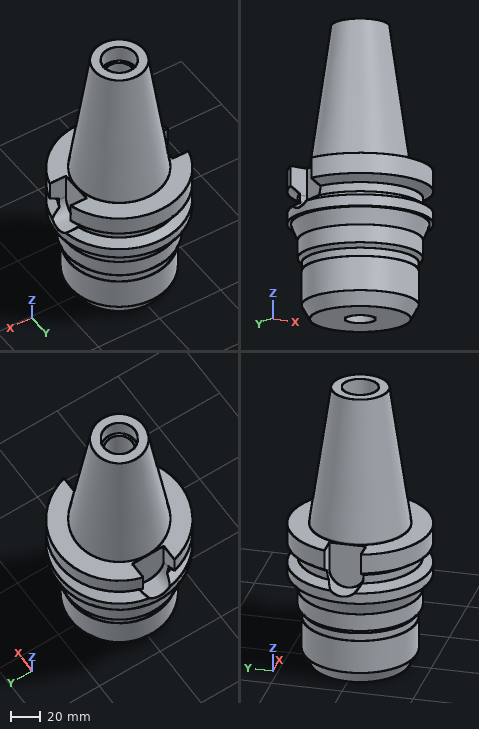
import cadquery as cq

total_height = 207.2
nose_chamfer_top = 9.7
nose_step = 34.0
nose_top = 39.8
collar_bottom = 42.9
collar_top = 55.5
flange_bottom = 67.0
lower_rim_top = 74.8
groove_bottom = 79.0
groove_top = 85.4
upper_rim_bottom = 90.0
flange_top = 104.2
gauge_line = 105.3

nose_end_radius = 34.5
nose_radius = 40.2
nose_relief_radius = 40.0
collar_radius = 42.9
neck_radius = 47.5
flange_radius = 100.0 / 2
groove_radius = collar_radius
gauge_radius = 34.91
taper_per_length = 7 / 24
taper_end_radius = gauge_radius - (total_height - gauge_line) * taper_per_length / 2

through_radius = 10.5
counterbore_radius = 12.6
counterbore_depth = 13.3

slot_width = 25.7
slot_floor = 35.2
slot_bottom = 71.7


def revolved_body():
    """Nose, collar, grooved flange and taper shank as one solid of revolution."""
    outline = [
        (0, 0),
        (nose_end_radius, 0),
        (nose_radius, nose_chamfer_top),
        (nose_radius, nose_step),
        (nose_relief_radius, nose_step),
        (nose_relief_radius, nose_top),
        (collar_radius, collar_bottom),
        (collar_radius, collar_top),
        (neck_radius, flange_bottom),
        (flange_radius, flange_bottom),
        (flange_radius, lower_rim_top),
        (groove_radius, groove_bottom),
        (groove_radius, groove_top),
        (flange_radius, upper_rim_bottom),
        (flange_radius, flange_top),
        (gauge_radius, flange_top),
        (gauge_radius, gauge_line),
        (taper_end_radius, total_height),
        (0, total_height),
    ]
    return cq.Workplane("XZ").polyline(outline).close().revolve(360, (0, 0, 0), (0, 1, 0))


def stepped_bore():
    """Through hole with a counterbore at the small end of the taper."""
    through = cq.Workplane("XY").circle(through_radius).extrude(total_height)
    counterbore = (
        cq.Workplane("XY")
        .workplane(offset=total_height - counterbore_depth)
        .circle(counterbore_radius)
        .extrude(counterbore_depth)
    )
    return through.union(counterbore)


def drive_slot(side):
    """Round-bottomed slot, open at the flange top; side is +1 or -1 along X."""
    half_width = slot_width / 2
    arc_center = slot_bottom + half_width
    return (
        cq.Workplane("YZ", origin=(side * slot_floor, 0, 0))
        .moveTo(-half_width, flange_top)
        .lineTo(-half_width, arc_center)
        .threePointArc((0, slot_bottom), (half_width, arc_center))
        .lineTo(half_width, flange_top)
        .close()
        .extrude(side * flange_radius)
    )


result = revolved_body().cut(stepped_bore())
for side in (-1, 1):
    result = result.cut(drive_slot(side))